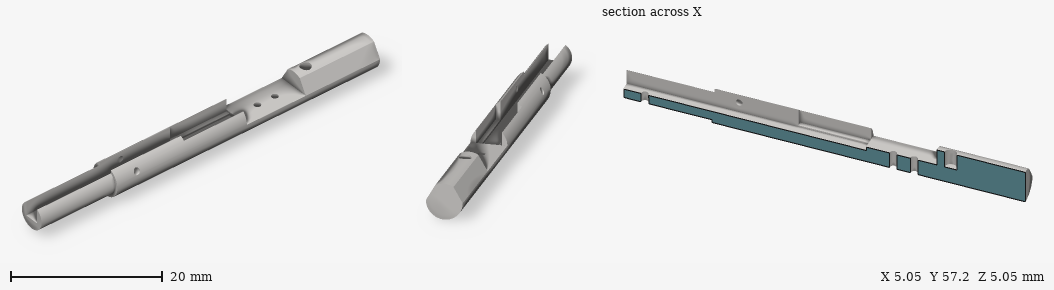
import cadquery as cq
import math

length = 57.15
body_diameter = 5.05
body_radius = body_diameter / 2
tip_diameter = 4.1
tip_length = 12.5
cut_height = 5.7
cut_width = 11.45

tail_length = 12.65
flat_slope = 60.0
deck_length = 10.0
deck_back = length - tail_length
deck_front = deck_back - deck_length

slot_width = 2.3
slot_floor = -0.6
ledge_length = 10.1
ledge_width = 3.55
ledge_height = -0.3

small_hole_diameter = 1.05
small_hole_places = (3.05, 38.35, 41.3)
tail_hole_diameter = 1.65
tail_hole_place = 46.5
wall_hole_diameter = 1.0
wall_hole_place = 16.0
wall_hole_height = 1.05


def rod(diameter, start, end):
    """Round bar along Y between two places."""
    profile = cq.Workplane("XZ", origin=(0, start, 0)).circle(diameter / 2)
    return profile.extrude(start - end)


def block(width, start, end, bottom):
    """Cutting block centred in X, rising from the given height."""
    base = cq.Workplane("XY", origin=(0, (start + end) / 2, bottom))
    return base.rect(width, end - start).extrude(cut_height)


def drill(diameter, place, bottom):
    """Vertical cutter on the centre line, rising from the given height."""
    return cq.Workplane("XY", origin=(0, place, bottom)).circle(diameter / 2).extrude(2 * cut_height)


def tail_flat(side):
    """Region outside one flat, which rises inward from the body's widest line."""
    slope = math.radians(flat_slope)
    inner_x = body_radius - cut_height / math.tan(slope)
    corners = [
        (side * body_radius, 0),
        (side * inner_x, cut_height),
        (side * cut_width, cut_height),
        (side * cut_width, 0),
    ]
    profile = cq.Workplane("XZ", origin=(0, deck_back, 0)).polyline(corners).close()
    return profile.extrude(-tail_length)


def cross_drill(diameter, place, height):
    """Horizontal cutter along X, through both slot walls."""
    profile = cq.Workplane("YZ").center(place, height).circle(diameter / 2)
    return profile.extrude(cut_width / 2, both=True)


result = rod(tip_diameter, 0, tip_length).union(rod(body_diameter, tip_length, length))

result = result.cut(block(cut_width, deck_front, deck_back, 0))
result = result.cut(block(slot_width, 0, deck_front, slot_floor))
result = result.cut(block(ledge_width, deck_front - ledge_length, deck_front, ledge_height))

for side in (-1, 1):
    result = result.cut(tail_flat(side))

result = result.cut(cross_drill(wall_hole_diameter, wall_hole_place, wall_hole_height))

for place in small_hole_places:
    result = result.cut(drill(small_hole_diameter, place, -cut_height))
result = result.cut(drill(tail_hole_diameter, tail_hole_place, 0))